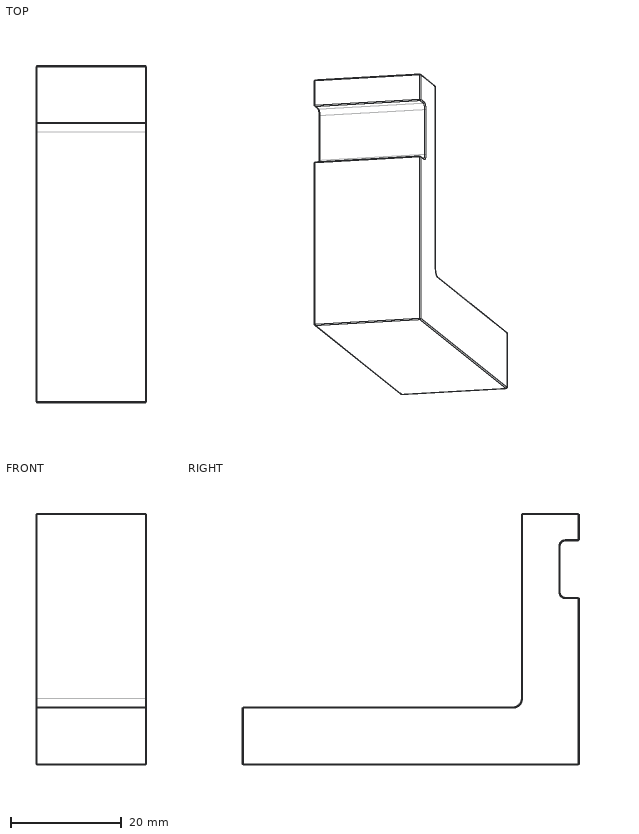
import cadquery as cq

width = 20.0
length = 61.0
height = 45.5

leg_thickness = 10.5
inner_corner_radius = 1.5

slot_depth = 3.5
slot_height = 10.25
slot_top_gap = 4.95
slot_corner_radius = 1.0

edge_break = 0.2

back_y = length / 2
upright_front_y = back_y - leg_thickness


def make_bracket():
    """L-profile with its inner corner rounded."""
    profile = [
        (-back_y, 0),
        (back_y, 0),
        (back_y, height),
        (upright_front_y, height),
        (upright_front_y, leg_thickness),
        (-back_y, leg_thickness),
    ]
    body = cq.Workplane("YZ").polyline(profile).close().extrude(width / 2, both=True)
    inner_corner = cq.selectors.NearestToPointSelector((0, upright_front_y, leg_thickness))
    return body.edges(inner_corner).fillet(inner_corner_radius)


def make_slot_cutter():
    """Bar for the slot, rounded along the two edges at the slot floor."""
    slot_center_z = height - slot_top_gap - slot_height / 2
    bar = cq.Workplane("XY").box(width, 2 * slot_depth, slot_height)
    bar = bar.faces("<Y").edges("|X").fillet(slot_corner_radius)
    return bar.translate((0, back_y, slot_center_z))


def break_edges(body):
    """Small chamfer on all edges around the sides, ends, top and bottom."""
    return body.faces("<X or >X or <Y or >Y or <Z or >Z").edges().chamfer(edge_break)


bracket = make_bracket().cut(make_slot_cutter())
result = break_edges(bracket)